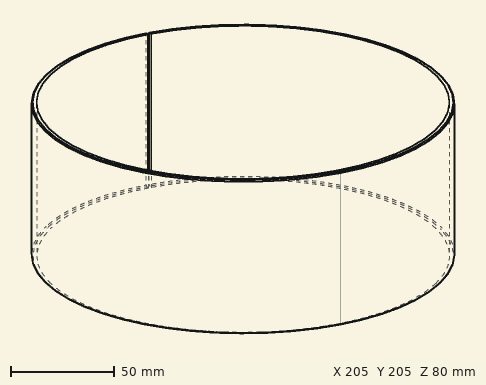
import cadquery as cq

outer_diameter = 205.0
wall = 2.5
height = 80.0
gap_width = 1.6
rim_chamfer = 0.6

outer_radius = outer_diameter / 2
inner_radius = outer_radius - wall

disc = cq.Workplane("XY").cylinder(height, outer_radius).edges("%CIRCLE").chamfer(rim_chamfer)
bore = cq.Workplane("XY").cylinder(height, inner_radius)
ring = disc.cut(bore)

slit = cq.Workplane("XY").box(4 * wall, gap_width, height).translate((-outer_radius, gap_width / 2, 0))

result = ring.cut(slit)